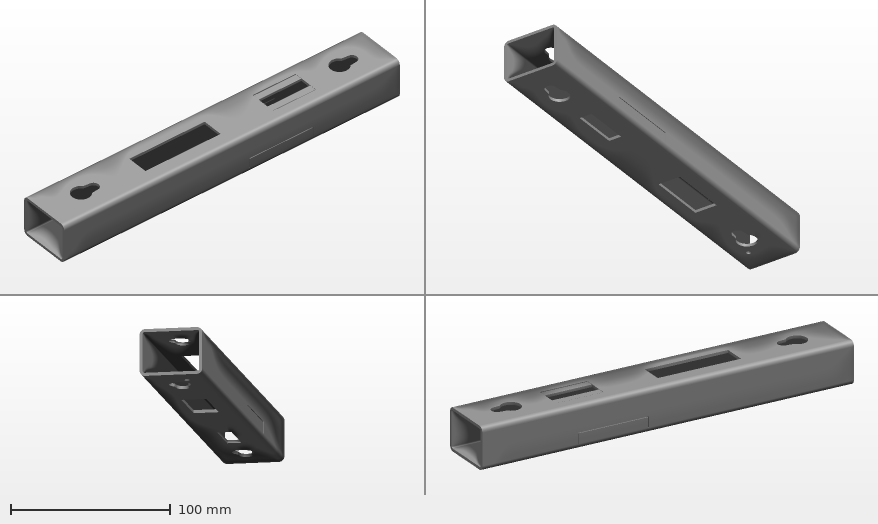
import cadquery as cq

WIDTH = 40.0
LENGTH = 270.0
HEIGHT = 30.0
WALL = 2.0
OUTER_RADIUS = 3.5
INNER_RADIUS = 1.0

KEYHOLE_SPACING = 208.0
KEYHOLE_MIDPOINT_Y = -1.4
KEYHOLE_HEAD_RADIUS = 7.0
KEYHOLE_NECK_RADIUS = 4.0
KEYHOLE_NECK_BASE_WIDTH = 10.0
KEYHOLE_NECK_OFFSET = 10.0

LONG_SLOT_WIDTH = 16.0
LONG_SLOT_START_Y = -60.0
LONG_SLOT_TOP_END_Y = 0.5
LONG_SLOT_BOTTOM_END_Y = -19.0

WINDOW_WIDTH = 20.5
WINDOW_SLOT_WIDTH = 9.0
WINDOW_START_Y = 41.0
WINDOW_TOP_END_Y = 75.5
WINDOW_BOTTOM_END_Y = 73.8
STRIP_RECESS = 0.2

FLAP_START_Y = 14.0
FLAP_END_Y = 65.6
FLAP_TOP_Z = -3.7
FLAP_BOTTOM_Z = OUTER_RADIUS - HEIGHT / 2

SLIT = 0.5

FLOOR_HOLE_DIAMETER = 3.3
FLOOR_HOLE_X = 7.0
FLOOR_HOLE_Y = -117.7


def centred(size):
    """Range of the given size, centred on zero."""
    return (-size / 2, size / 2)


FULL_WIDTH = centred(WIDTH)
FULL_HEIGHT = centred(HEIGHT)
TOP_WALL = (HEIGHT / 2 - WALL, HEIGHT / 2)
BOTTOM_WALL = (-HEIGHT / 2, WALL - HEIGHT / 2)


def block(x_range, y_range, z_range):
    """Axis-aligned box spanning the three ranges."""
    ranges = (x_range, y_range, z_range)
    sizes = [end - start for start, end in ranges]
    corner = cq.Vector(*[start for start, end in ranges])
    return cq.Workplane(cq.Solid.makeBox(*sizes, pnt=corner))


def rounded_bar(width, height, radius):
    """Bar of the full tube length with its four long edges rounded."""
    return cq.Workplane("XY").box(width, LENGTH, height).edges("|Y").fillet(radius)


def tube():
    outer = rounded_bar(WIDTH, HEIGHT, OUTER_RADIUS)
    bore = rounded_bar(WIDTH - 2 * WALL, HEIGHT - 2 * WALL, INNER_RADIUS)
    return outer.cut(bore)


def keyhole(head_y):
    """Round head joined to a narrower, slightly tapered neck with a round end."""
    plane = cq.Workplane("XY", origin=(0, head_y, -HEIGHT / 2))
    head = plane.circle(KEYHOLE_HEAD_RADIUS).extrude(HEIGHT)
    neck = (
        plane.moveTo(-KEYHOLE_NECK_BASE_WIDTH / 2, 0)
        .lineTo(KEYHOLE_NECK_BASE_WIDTH / 2, 0)
        .lineTo(KEYHOLE_NECK_RADIUS, KEYHOLE_NECK_OFFSET)
        .threePointArc(
            (0, KEYHOLE_NECK_OFFSET + KEYHOLE_NECK_RADIUS),
            (-KEYHOLE_NECK_RADIUS, KEYHOLE_NECK_OFFSET),
        )
        .close()
        .extrude(HEIGHT)
    )
    return head.union(neck)


def stepped_slot(width, start_y, top_end_y, bottom_end_y):
    """Rectangular openings in the top and bottom walls that share one end."""
    top = block(centred(width), (start_y, top_end_y), TOP_WALL)
    bottom = block(centred(width), (start_y, bottom_end_y), BOTTOM_WALL)
    return top.union(bottom)


def window():
    """Central slot, strip recess and the two slits along the strips."""
    length = (WINDOW_START_Y, WINDOW_TOP_END_Y)
    outline = block(centred(WINDOW_WIDTH), length, TOP_WALL)
    strips = block(centred(WINDOW_WIDTH - 2 * SLIT), length, TOP_WALL)
    slits = outline.cut(strips)
    recess = block(centred(WINDOW_WIDTH), length, (HEIGHT / 2 - STRIP_RECESS, HEIGHT / 2))
    slot = stepped_slot(WINDOW_SLOT_WIDTH, WINDOW_START_Y, WINDOW_TOP_END_Y, WINDOW_BOTTOM_END_Y)
    return slot.union(recess).union(slits)


def side_flap_slits():
    """Slits round the two ends and the top of the flaps, through both side walls."""
    outline = block(FULL_WIDTH, (FLAP_START_Y, FLAP_END_Y), (FLAP_BOTTOM_Z, FLAP_TOP_Z))
    flaps = block(
        FULL_WIDTH,
        (FLAP_START_Y + SLIT, FLAP_END_Y - SLIT),
        (FLAP_BOTTOM_Z, FLAP_TOP_Z - SLIT),
    )
    return outline.cut(flaps)


def floor_hole():
    plane = cq.Workplane("XY", origin=(FLOOR_HOLE_X, FLOOR_HOLE_Y, -HEIGHT / 2))
    return plane.circle(FLOOR_HOLE_DIAMETER / 2).extrude(WALL)


result = tube()
for side in (-1, 1):
    result = result.cut(keyhole(KEYHOLE_MIDPOINT_Y + side * KEYHOLE_SPACING / 2))
result = result.cut(
    stepped_slot(LONG_SLOT_WIDTH, LONG_SLOT_START_Y, LONG_SLOT_TOP_END_Y, LONG_SLOT_BOTTOM_END_Y)
)
result = result.cut(window())
result = result.cut(side_flap_slits())
result = result.cut(floor_hole())